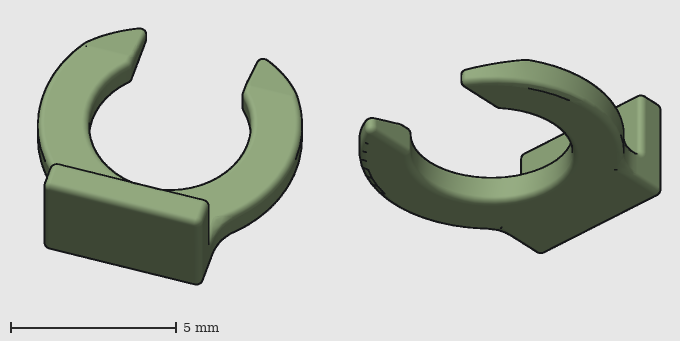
import cadquery as cq
import math

ring_outer_radius = 4.0
ring_inner_radius = 2.445
ring_thickness = 1.0
mouth_width = 3.5
tab_width = 5.0
tab_thickness = 1.0
tab_height = 3.3
tab_back_y = -5.0
neck_radius = 1.5
edge_radius = 0.2
tip_radius = 0.2
ramp_edge_radius = 0.14
ramp_start_y = 2.0
ramp_angle = 18.0

tab_front_y = tab_back_y + tab_thickness
neck_y = -math.sqrt(ring_outer_radius**2 - (tab_width / 2) ** 2)
mouth_reach = 2 * ring_outer_radius
position_tolerance = 0.04


def box(width, y_start, y_end, height):
    """Block centred on X, standing on the underside plane."""
    return (
        cq.Workplane("XY")
        .center(0, (y_start + y_end) / 2)
        .rect(width, y_end - y_start)
        .extrude(height)
    )


def corner_edges(body, x, y):
    """Select the vertical edges at the mirrored corners (+x, y) and (-x, y)."""

    def at_corner(edge):
        center = edge.Center()
        return abs(abs(center.x) - x) < position_tolerance and abs(center.y - y) < position_tolerance

    return body.edges("|Z").filter(at_corner)


def ramp_side_edges(body):
    """Select the borders of both ramp faces, leaving out the crease where the ramp starts."""
    slope = math.radians(ramp_angle)
    ramp_normal = cq.Vector(0, math.sin(slope), math.cos(slope))
    ramps = body.faces(cq.selectors.ParallelDirSelector(ramp_normal))
    return ramps.edges().filter(lambda edge: edge.BoundingBox().ymax > ramp_start_y + position_tolerance)


def edges_except(body, skipped):
    """Select every edge of the body that is not among the skipped ones."""
    return body.edges().filter(lambda edge: not any(edge.isSame(other) for other in skipped))


def clip_plate():
    """Open ring joined to the tab foot, with rounded tips."""
    plate = cq.Workplane("XY").circle(ring_outer_radius).extrude(ring_thickness)
    plate = plate.union(box(tab_width, tab_back_y, 0, ring_thickness))
    bore = cq.Workplane("XY").circle(ring_inner_radius).extrude(ring_thickness)
    plate = plate.cut(bore).cut(box(mouth_width, 0, mouth_reach, ring_thickness))
    tip_y = math.sqrt(ring_outer_radius**2 - (mouth_width / 2) ** 2)
    return corner_edges(plate, mouth_width / 2, tip_y).fillet(tip_radius)


def ramp_cutter():
    """Wedge that thins both ring arms towards their tips."""
    run = mouth_reach - ramp_start_y
    drop = run * math.tan(math.radians(ramp_angle))
    return (
        cq.Workplane("YZ")
        .moveTo(ramp_start_y, ring_thickness)
        .line(run, 0)
        .line(0, -drop)
        .close()
        .extrude(ring_outer_radius, both=True)
    )


body = clip_plate().cut(ramp_cutter())
body = body.union(box(tab_width, tab_back_y, tab_front_y, tab_height))


neck_corners = corner_edges(body, tab_width / 2, neck_y).vals()
ramp_borders = ramp_side_edges(body).vals()
body = edges_except(body, neck_corners + ramp_borders).fillet(edge_radius)
body = ramp_side_edges(body).fillet(ramp_edge_radius)

result = corner_edges(body, tab_width / 2, neck_y).fillet(neck_radius)